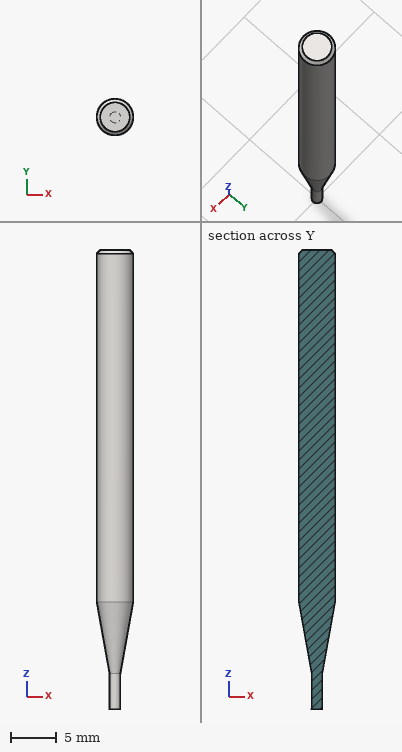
import cadquery as cq

total_length = 50.0
shank_diameter = 4.0
tip_diameter = 1.2

tip_length = 3.9
taper_length = 7.8
end_chamfer = 0.4

shank_radius = shank_diameter / 2
tip_radius = tip_diameter / 2
taper_top = tip_length + taper_length

result = (
    cq.Workplane("XZ")
    .moveTo(0, 0)
    .lineTo(tip_radius, 0)
    .lineTo(tip_radius, tip_length)
    .lineTo(shank_radius, taper_top)
    .lineTo(shank_radius, total_length - end_chamfer)
    .lineTo(shank_radius - end_chamfer, total_length)
    .lineTo(0, total_length)
    .close()
    .revolve(360, (0, 0), (0, 1))
)